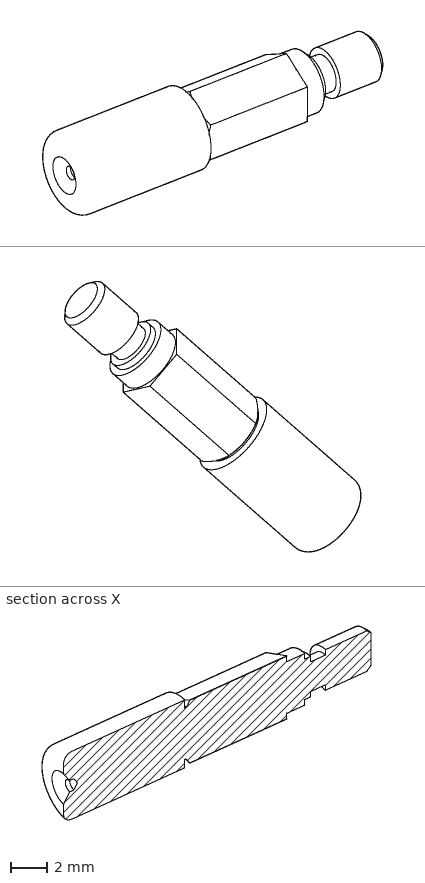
import cadquery as cq
import math

total_length = 20.8

sleeve_diameter = 5.0
sleeve_length = 8.2
sleeve_edge_radius = 0.6

collar_diameter = 3.8
front_collar_length = 0.1
rear_collar_length = 1.2

hex_sides = 6
hex_across_flats = 4.0
hex_chamfer_angle = 30.0

pin_diameter = 3.0
pin_flange_length = 0.4
groove_diameter = 2.2
groove_length = 1.0
pin_tip_length = 3.1
pin_tip_chamfer = 0.3

countersink_diameter = 2.2
countersink_angle = 120.0
pilot_diameter = 0.8
pilot_length = 0.3
pilot_point_angle = 120.0

front_face = -total_length / 2
sleeve_back = front_face + sleeve_length
hex_front = sleeve_back + front_collar_length
tip_end = total_length / 2
groove_back = tip_end - pin_tip_length
groove_front = groove_back - groove_length
rear_collar_back = groove_front - pin_flange_length
hex_back = rear_collar_back - rear_collar_length
hex_length = hex_back - hex_front


def round_bar(diameter, y_start, y_end):
    """Cylinder on the Y axis between two stations."""
    plane = cq.Plane(origin=(0, y_start, 0), xDir=(1, 0, 0), normal=(0, 1, 0))
    return cq.Workplane(plane).circle(diameter / 2).extrude(y_end - y_start)


def revolve_about_y(points):
    """Solid of revolution from a closed (radius, y) outline."""
    return cq.Workplane("XY").polyline(points).close().revolve(360, (0, 0), (0, 1))


def make_sleeve():
    sleeve = round_bar(sleeve_diameter, front_face, sleeve_back)
    return sleeve.faces("<Y").edges().fillet(sleeve_edge_radius)


def make_hex():
    """Hexagon with flats facing +X and -X, its front corners turned down to the collar."""
    across_corners = hex_across_flats / math.cos(math.pi / hex_sides)
    collar_radius = collar_diameter / 2
    corner_radius = across_corners / 2
    chamfer_length = (corner_radius - collar_radius) * math.tan(math.radians(hex_chamfer_angle))
    plane = cq.Plane(origin=(0, hex_front, 0), xDir=(0, 0, 1), normal=(0, 1, 0))
    prism = cq.Workplane(plane).polygon(hex_sides, across_corners).extrude(hex_length)
    turned_envelope = revolve_about_y([
        (0, hex_front),
        (collar_radius, hex_front),
        (corner_radius, hex_front + chamfer_length),
        (corner_radius, hex_back),
        (0, hex_back),
    ])
    return prism.intersect(turned_envelope)


def make_pin():
    """Grooved rear pin with a chamfered tip."""
    tip = round_bar(pin_diameter, groove_back, tip_end)
    tip = tip.faces(">Y").edges().chamfer(pin_tip_chamfer)
    neck = round_bar(groove_diameter, groove_front, groove_back)
    flange = round_bar(pin_diameter, rear_collar_back, groove_front)
    return flange.union(neck).union(tip)


def make_centre_recess():
    """Countersink, pilot hole and drill point sunk from the front face."""
    mouth_radius = countersink_diameter / 2
    pilot_radius = pilot_diameter / 2
    countersink_depth = (mouth_radius - pilot_radius) / math.tan(math.radians(countersink_angle / 2))
    point_depth = pilot_radius / math.tan(math.radians(pilot_point_angle / 2))
    pilot_start = front_face + countersink_depth
    pilot_end = pilot_start + pilot_length
    return revolve_about_y([
        (0, front_face),
        (mouth_radius, front_face),
        (pilot_radius, pilot_start),
        (pilot_radius, pilot_end),
        (0, pilot_end + point_depth),
    ])


front_collar = round_bar(collar_diameter, sleeve_back, hex_front)
rear_collar = round_bar(collar_diameter, hex_back, rear_collar_back)

body = make_sleeve().union(front_collar).union(make_hex()).union(rear_collar).union(make_pin())
result = body.cut(make_centre_recess())